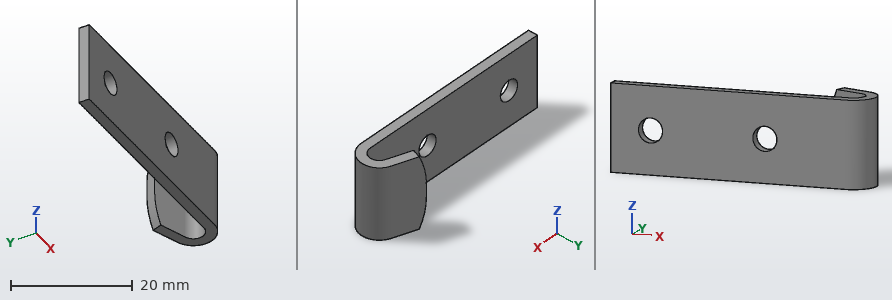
import cadquery as cq
import math

length = 45.0
width = 15.0
thickness = 2.0

bend_radius = 4.0
arm_angle = 19.5
hook_height = 10.0
tip_flat = 2.55
tip_radius = 15.0

hole_diameter = 4.2
hole_positions = (6.97, 26.95)

bend_x = length - bend_radius
inner_radius = bend_radius - thickness
sin_arm = math.sin(math.radians(arm_angle))
cos_arm = math.cos(math.radians(arm_angle))
arm_length = (hook_height - bend_radius * (1 + cos_arm)) / sin_arm


def hook_point(radius, along_arm):
    """Point on the arm: radius from the bend centre, then a distance toward the tip."""
    return (
        bend_x + radius * sin_arm - along_arm * cos_arm,
        bend_radius + radius * cos_arm + along_arm * sin_arm,
    )


def bent_strip():
    return (
        cq.Workplane("XY")
        .moveTo(0, 0)
        .lineTo(bend_x, 0)
        .threePointArc((length, bend_radius), hook_point(bend_radius, 0))
        .lineTo(*hook_point(bend_radius, arm_length))
        .lineTo(*hook_point(inner_radius, arm_length))
        .lineTo(*hook_point(inner_radius, 0))
        .threePointArc((bend_x + inner_radius, bend_radius), (bend_x, thickness))
        .lineTo(0, thickness)
        .close()
        .extrude(width)
    )


def tip_waste():
    """Material outside the rounded tip, as a slab lying along the arm."""
    half_width = width / 2
    half_flat = tip_flat / 2
    arc_angle = math.asin((half_width - half_flat) / tip_radius)
    arc_depth = tip_radius * (1 - math.cos(arc_angle))
    middle_depth = tip_radius * (1 - math.cos(arc_angle / 2))
    middle_offset = half_flat + tip_radius * math.sin(arc_angle / 2)
    tip_x, tip_y = hook_point(inner_radius, arm_length)
    arm_plane = cq.Plane(
        origin=(tip_x, tip_y, half_width),
        xDir=(-cos_arm, sin_arm, 0),
        normal=(sin_arm, cos_arm, 0),
    )
    waste_outline = (
        cq.Workplane(arm_plane)
        .moveTo(-arc_depth, -half_width)
        .threePointArc((-middle_depth, -middle_offset), (0, -half_flat))
        .lineTo(0, half_flat)
        .threePointArc((-middle_depth, middle_offset), (-arc_depth, half_width))
        .lineTo(arc_depth, half_width)
        .lineTo(arc_depth, -half_width)
        .close()
    )
    return waste_outline.extrude(thickness)


def mounting_holes():
    return (
        cq.Workplane("XZ")
        .pushPoints([(x, width / 2) for x in hole_positions])
        .circle(hole_diameter / 2)
        .extrude(-thickness)
    )


result = bent_strip().cut(tip_waste()).cut(mounting_holes())